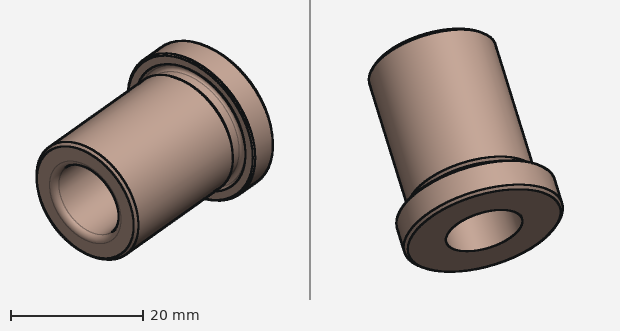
import cadquery as cq
import math

length = 30.0
head_radius = length * 5 / 12
head_thickness = length / 6
body_radius = length / 3
bore_radius = length / 5

head_back_chamfer = 0.5
head_front_chamfer = 0.27
body_chamfer = 0.5
bore_round = length / 30

neck_radius = body_radius - body_chamfer
neck_length = 1.5
undercut_slope = math.radians(45)
undercut_round = 0.5
undercut_mouth_radius = 10.8

tip_y = -length / 2
back_y = length / 2
head_face_y = back_y - head_thickness
shoulder_y = head_face_y - neck_length

root_arc_center_x = neck_radius + undercut_round
root_arc_end_x = root_arc_center_x + undercut_round * math.sin(undercut_slope)
root_arc_end_y = head_face_y + (undercut_mouth_radius - root_arc_end_x) * math.tan(undercut_slope)
root_arc_start_y = root_arc_end_y - undercut_round * math.cos(undercut_slope)

half_section = (
    cq.Workplane("XY")
    .moveTo(bore_radius + bore_round, tip_y)
    .lineTo(body_radius - body_chamfer, tip_y)
    .lineTo(body_radius, tip_y + body_chamfer)
    .lineTo(body_radius, shoulder_y - body_chamfer)
    .lineTo(neck_radius, shoulder_y)
    .lineTo(neck_radius, root_arc_start_y)
    .radiusArc((root_arc_end_x, root_arc_end_y), undercut_round)
    .lineTo(undercut_mouth_radius, head_face_y)
    .lineTo(head_radius - head_front_chamfer, head_face_y)
    .lineTo(head_radius, head_face_y + head_front_chamfer)
    .lineTo(head_radius, back_y - head_back_chamfer)
    .lineTo(head_radius - head_back_chamfer, back_y)
    .lineTo(bore_radius, back_y)
    .lineTo(bore_radius, tip_y + bore_round)
    .radiusArc((bore_radius + bore_round, tip_y), -bore_round)
    .close()
)

result = half_section.revolve(360, (0, 0, 0), (0, 1, 0))